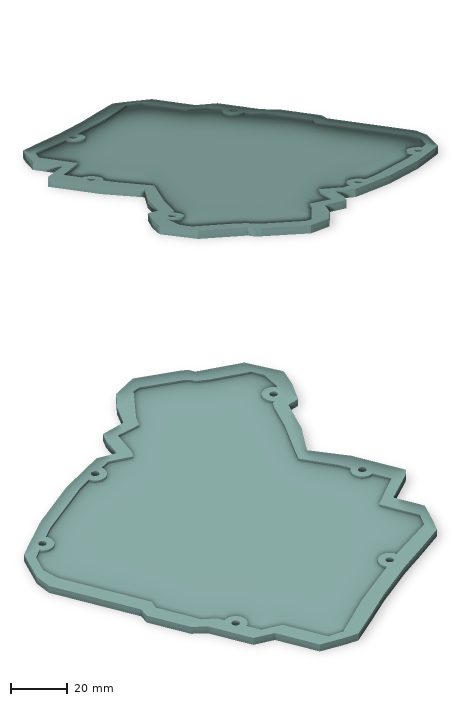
import cadquery as cq


plate_length = 137.35
plate_depth = 155.99
plate_thickness = 3.0
pocket_depth = 1.0
rim_width = 5.8

screw_diameter = 3.0
boss_radius = 4.25
left_mid_y = 101.2
right_mid_y = 107.2
right_screw_x = 124.6
right_screw_offset = 23.25
screw_centers = [
    (42.4, 147.4),
    (right_screw_x, right_mid_y + right_screw_offset),
    (right_screw_x, right_mid_y - right_screw_offset),
    (7.9, 90.2),
    (38.9, 43.7),
    (86.2, 14.1),
]

left_shoulder_offset = 46.3
left_top_y = left_mid_y + left_shoulder_offset
left_bottom_y = left_mid_y - left_shoulder_offset
main_top_y = 153.3
lower_edge_y = 37.55
lower_pocket_y = 44.4

left_rim_profile = [
    (1.3, 9.0),
    (0.85, 17.0),
    (0.6, 20.9),
    (0.0, 34.65),
    (0.8, 35.7),
    (3.3, 38.9),
    (9.8, left_shoulder_offset),
]
left_pocket_profile = [
    (7.1, 15.6),
    (6.3, 25.0),
    (5.4, 35.6),
    (9.15, left_shoulder_offset - rim_width),
]
right_rim_profile = [
    (130.6, 11.0),
    (129.8, 17.6),
    (128.8, 25.6),
    (127.9, 32.0),
]
right_pocket_profile = [
    (125.9, 13.0),
    (125.2, 18.9),
    (124.0, 27.3),
    (123.2, 32.0),
]


def upward(profile, mid_y):
    """Both halves of a symmetric side, from its lowest point to its highest."""
    lower = [(x, mid_y - offset) for x, offset in reversed(profile)]
    upper = [(x, mid_y + offset) for x, offset in profile]
    return lower + upper


def downward(profile, mid_y):
    """Both halves of a symmetric side, from its highest point to its lowest."""
    return upward(profile, mid_y)[::-1]


def rim_outline():
    """Outer outline of the plate, clockwise from the bottom of the left side."""
    top_edge = [
        (27.2, left_top_y),
        (33.0, main_top_y),
        (50.4, main_top_y),
        (56.0, plate_depth),
        (73.1, plate_depth),
        (76.4, main_top_y),
        (112.1, main_top_y),
        (118.3, 149.9),
    ]
    thumb_right = [
        (122.6, 69.4),
        (128.9, 64.3),
        (131.8, 60.7),
        (127.9, 51.4),
        (133.7, 43.9),
        (plate_length, 36.5),
        (135.7, 25.5),
    ]
    thumb_bottom = [
        (121.7, 13.9),
        (119.4, 12.75),
        (117.1, 12.75),
        (103.4, 0.7),
        (89.4, 0.0),
        (88.3, 0.1),
        (82.7, 5.7),
        (77.0, 13.4),
        (78.8, 18.0),
    ]
    lower_edge = [
        (68.8, 29.1),
        (61.6, 40.75),
        (46.0, lower_edge_y),
        (24.7, lower_edge_y),
        (23.6, 40.3),
        (22.0, left_bottom_y),
    ]
    left_side = upward(left_rim_profile, left_mid_y)
    right_side = downward(right_rim_profile, right_mid_y)
    return left_side + top_edge + right_side + thumb_right + thumb_bottom + lower_edge


def pocket_outline():
    """Pocket outline without the screw bosses, clockwise from the bottom of the left side."""
    top_edge = [
        (26.7, left_top_y - rim_width),
        (32.5, main_top_y - rim_width),
        (49.8, main_top_y - rim_width),
        (54.3, plate_depth - rim_width),
        (72.1, plate_depth - rim_width),
        (74.7, main_top_y - rim_width),
        (110.8, main_top_y - rim_width),
        (117.9, 145.3),
    ]
    thumb_right = [
        (116.4, 68.9),
        (118.2, 66.4),
        (126.6, 59.4),
        (122.2, 50.5),
        (125.0, 46.9),
        (132.3, 32.5),
        (131.3, 29.5),
    ]
    thumb_bottom = [
        (118.8, 19.1),
        (116.9, 18.1),
        (114.2, 17.6),
        (110.6, 15.1),
        (98.9, 4.75),
        (93.9, 4.75),
        (87.0, 9.1),
        (84.0, 15.6),
        (84.2, 19.4),
    ]
    lower_edge = [
        (82.9, 21.3),
        (74.8, 30.2),
        (62.4, 46.6),
        (47.6, lower_pocket_y),
        (27.3, lower_pocket_y),
        (25.0, left_bottom_y + rim_width),
    ]
    left_side = upward(left_pocket_profile, left_mid_y)
    right_side = downward(right_pocket_profile, right_mid_y)
    return left_side + top_edge + right_side + thumb_right + thumb_bottom + lower_edge


def make_pocket():
    """Volume removed from the top face, leaving the screw bosses standing."""
    floor = cq.Workplane("XY").workplane(offset=plate_thickness - pocket_depth)
    recess = floor.polyline(pocket_outline()).close().extrude(pocket_depth)
    bosses = floor.pushPoints(screw_centers).circle(boss_radius).extrude(pocket_depth)
    return recess.cut(bosses)


def make_screw_holes():
    """Cylinders through the full thickness at every screw position."""
    underside = cq.Workplane("XY").pushPoints(screw_centers)
    return underside.circle(screw_diameter / 2).extrude(plate_thickness)


plate = cq.Workplane("XY").polyline(rim_outline()).close().extrude(plate_thickness)
result = plate.cut(make_pocket()).cut(make_screw_holes())